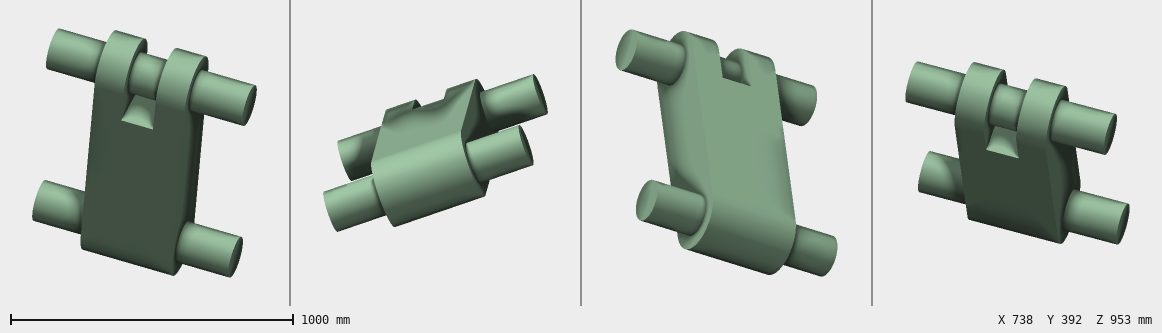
import cadquery as cq
import math

link_radius = 125.0
pin_radius = 75.0
pin_length = 738.0
link_width = 339.0
slot_width = 120.0
overall_depth = 392.0
overall_height = 953.0

rise = overall_height - 2 * link_radius
offset = overall_depth - 2 * link_radius
pin_spacing = math.hypot(rise, offset)
lean_angle = math.degrees(math.atan2(offset, rise))
slot_depth = 2 * link_radius


def make_link():
    """Upright link with full-round ends, centred on X."""
    return (
        cq.Workplane("YZ", origin=(-link_width / 2, 0, 0))
        .center(0, pin_spacing / 2)
        .slot2D(pin_spacing + 2 * link_radius, 2 * link_radius, 90)
        .extrude(link_width)
    )


def make_fork_slot():
    """Cutter that splits the upper end of the link into two arms."""
    top = pin_spacing + link_radius
    return (
        cq.Workplane("XY")
        .workplane(offset=top - slot_depth)
        .rect(slot_width, 2 * link_radius)
        .extrude(slot_depth)
    )


def make_pin(height):
    """Pin along X, centred on the link."""
    return (
        cq.Workplane("YZ", origin=(-pin_length / 2, 0, 0))
        .center(0, height)
        .circle(pin_radius)
        .extrude(pin_length)
    )


upright = make_link().cut(make_fork_slot())
for pin_height in (0, pin_spacing):
    upright = upright.union(make_pin(pin_height))

result = upright.rotate((0, 0, 0), (1, 0, 0), -lean_angle)